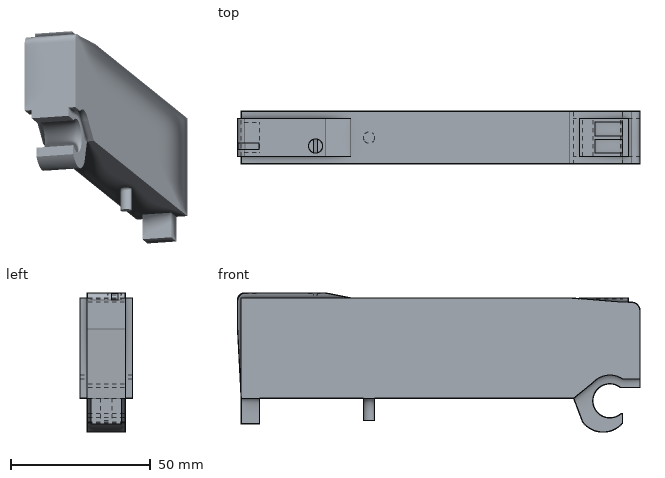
import cadquery as cq

length = 143.8
body_front = 1.3
slope_start = 118.6
cap_start = 137.6

body_height = 36.0
cap_height = 34.4
cap_underside = 6.9
cap_corner_radius = 3.0

body_width = 18.8
insert_width = 13.7

cover_top = 37.7
cover_flat_end = 31.5
cover_ramp_end = 40.4
cover_taper_start = 24.7
cover_corner_radius = 2.6
inlay_depth = 0.1

marker_y = -3.0
marker_length = 7.6
marker_width = 2.3
screw_x = 27.9
screw_diameter = 5.0
screw_slot_width = 1.5
screw_slot_depth = 0.6

block_start = 122.1
block_end = 139.6
block_base = 31.6
window_start = 127.7
window_width = 4.9
window_pitch = 6.2
window_depth = 0.5

foot_length = 6.6
foot_width = 10.8
foot_drop = 9.0
pin_x = 47.0
pin_diameter = 4.0
pin_drop = 7.9

hook_root = 120.1
hook_bottom = -12.1
hook_bottom_x = 130.9
hook_tip_z = -8.8
hook_arc_start = (123.2, -8.3)
relief_arc_start = (127.1, 5.8)
relief_arc_top = (133.0, 8.3)
bore_center = (133.0, -0.9)
bore_radius = 6.0
mouth_top = 3.9
mouth_bottom = -5.5


def extrude_centred(outline, width):
    """Extrude a closed XZ outline symmetrically about Y = 0."""
    return outline.extrude(width / 2, both=True)


def box_between(x_range, y_center, width, z_range):
    """Box spanning two X places and two Z heights, centred on y_center."""
    x_low, x_high = x_range
    z_low, z_high = z_range
    return (
        cq.Workplane("XY")
        .box(x_high - x_low, width, z_high - z_low, centered=(False, True, False))
        .translate((x_low, y_center, z_low))
    )


def make_body():
    """Full-width housing, sloped at the rear top and relieved around the hook."""
    outline = (
        cq.Workplane("XZ")
        .moveTo(body_front, 0)
        .lineTo(body_front, body_height)
        .lineTo(slope_start, body_height)
        .lineTo(cap_start, cap_height)
        .lineTo(length, cap_height)
        .lineTo(length, cap_underside)
        .lineTo(cap_start, cap_underside)
        .threePointArc(relief_arc_top, relief_arc_start)
        .lineTo(hook_root, 0)
        .close()
    )
    return extrude_centred(outline, body_width).faces(">X").edges(">Z").fillet(cap_corner_radius)


def make_hook():
    """Narrow hook with a round seat that opens toward +X."""
    outline = (
        cq.Workplane("XZ")
        .moveTo(hook_root, 0)
        .lineTo(*hook_arc_start)
        .threePointArc((hook_bottom_x, hook_bottom), (cap_start, hook_tip_z))
        .lineTo(cap_start, mouth_top)
        .lineTo(length, mouth_top)
        .lineTo(length, body_height / 2)
        .lineTo(hook_root, body_height / 2)
        .close()
    )
    hook = extrude_centred(outline, insert_width)
    seat = extrude_centred(cq.Workplane("XZ").center(*bore_center).circle(bore_radius), body_width)
    mouth = box_between((bore_center[0], length), 0, body_width, (mouth_bottom, mouth_top))
    return hook.cut(seat).cut(mouth)


def make_cover():
    """Front cover with a rounded nose, a marker strip and a slotted screw."""
    outline = (
        cq.Workplane("XZ")
        .moveTo(body_front, 0)
        .lineTo(0, cover_taper_start)
        .lineTo(0, cover_top)
        .lineTo(cover_flat_end, cover_top)
        .lineTo(cover_ramp_end, body_height)
        .lineTo(cover_ramp_end, 0)
        .close()
    )
    cover = extrude_centred(outline, insert_width).faces("<X").edges(">Z").fillet(cover_corner_radius)

    strip = box_between((0, marker_length), marker_y, marker_width,
                        (cover_top - cover_corner_radius, cover_top))
    inner_cover = cover.translate((inlay_depth, 0, -inlay_depth))
    cover = cover.cut(strip.cut(inner_cover))

    screw_top = cover_top - inlay_depth
    screw_recess = (
        cq.Workplane("XY", origin=(screw_x, marker_y, screw_top))
        .circle(screw_diameter / 2)
        .extrude(inlay_depth)
    )
    screw_slot = (
        cq.Workplane("XY", origin=(screw_x, marker_y, screw_top - screw_slot_depth))
        .circle(screw_diameter / 2)
        .extrude(screw_slot_depth)
        .intersect(box_between((screw_x - screw_slot_width / 2, screw_x + screw_slot_width / 2),
                               marker_y, screw_diameter, (0, cover_top)))
    )
    return cover.cut(screw_recess).cut(screw_slot)


def make_terminal_windows():
    """Two shallow rectangular recesses, side by side in the terminal block."""
    windows = cq.Workplane("XY")
    for side in (-1, 1):
        windows = windows.add(
            box_between((window_start, cap_start), side * window_pitch / 2, window_width,
                        (body_height - window_depth, body_height))
        )
    return windows.combine()


foot = box_between((body_front, body_front + foot_length), 0, foot_width, (-foot_drop, 0))
pin = cq.Workplane("XY").center(pin_x, 0).circle(pin_diameter / 2).extrude(-pin_drop)
terminal_block = box_between((block_start, block_end), 0, insert_width, (block_base, body_height))

result = (
    make_body()
    .union(make_hook())
    .union(make_cover())
    .union(terminal_block)
    .union(foot)
    .union(pin)
    .cut(make_terminal_windows())
)